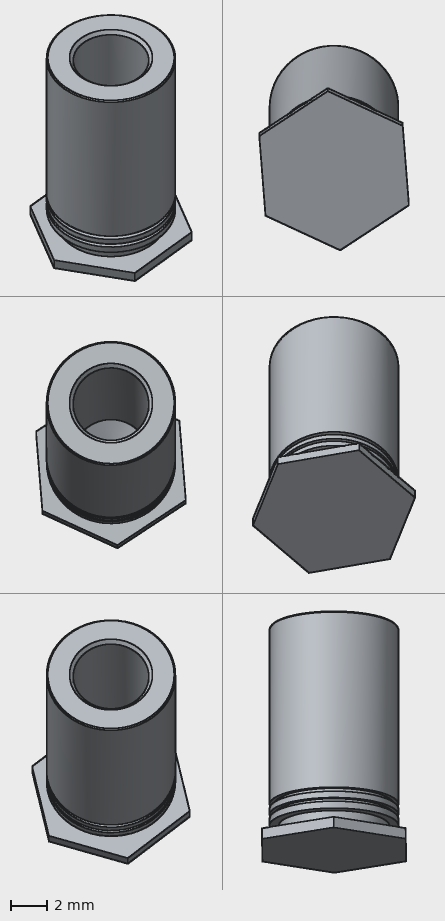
import cadquery as cq
import math

total_height = 12.7
flange_across_flats = 7.92
flange_thickness = 0.61

barrel_diameter = 7.11
neck_diameter = 6.1
groove_diameter = 6.6

lower_ring_bottom = 1.4
lower_ring_top = 1.79
upper_ring_bottom = 2.01
upper_ring_top = 2.36
barrel_bottom = 2.6
barrel_chamfer = 0.08

bore_diameter = 4.17
bore_mouth_diameter = 4.57
bore_floor_height = 2.54
drill_point_angle = 118.0


def cylinder(diameter, bottom, top):
    """Upright cylinder on the part axis between two heights."""
    return cq.Workplane("XY").workplane(offset=bottom).circle(diameter / 2).extrude(top - bottom)


def make_flange():
    """Hexagonal flange with two corners on the X axis."""
    across_corners = flange_across_flats / math.cos(math.pi / 6)
    return cq.Workplane("XY").polygon(6, across_corners).extrude(flange_thickness)


def make_body():
    """Neck, two retaining rings with grooves above them, and the main barrel."""
    body = cylinder(neck_diameter, flange_thickness, lower_ring_bottom)
    body = body.union(cylinder(groove_diameter, lower_ring_bottom, barrel_bottom))
    for bottom, top in ((lower_ring_bottom, lower_ring_top), (upper_ring_bottom, upper_ring_top)):
        body = body.union(cylinder(barrel_diameter, bottom, top))
    barrel = cylinder(barrel_diameter, barrel_bottom, total_height)
    return body.union(barrel.faces(">Z").edges().chamfer(barrel_chamfer))


def make_bore():
    """Revolved bore: drill point, straight wall and 45 degree countersunk mouth."""
    bore_radius = bore_diameter / 2
    mouth_radius = bore_mouth_diameter / 2
    point_depth = bore_radius / math.tan(math.radians(drill_point_angle / 2))
    mouth_depth = mouth_radius - bore_radius
    profile = (
        cq.Workplane("XZ")
        .moveTo(0, bore_floor_height - point_depth)
        .lineTo(bore_radius, bore_floor_height)
        .lineTo(bore_radius, total_height - mouth_depth)
        .lineTo(mouth_radius, total_height)
        .lineTo(0, total_height)
        .close()
    )
    return profile.revolve(360, (0, 0, 0), (0, 1, 0))


result = make_flange().union(make_body()).cut(make_bore())